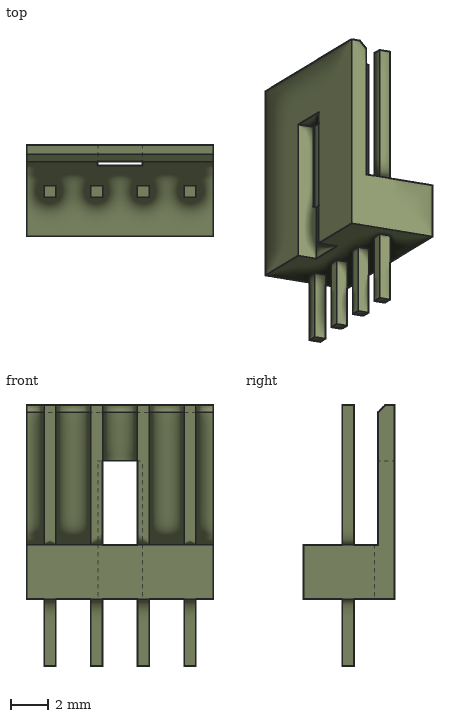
import cadquery as cq

pin_count = 4
pin_pitch = 2.5
pin_width = 0.64
pin_tail = 3.6

housing_length = pin_count * pin_pitch
housing_depth = 4.9
base_height = 2.9
wall_height = 7.5
wall_thickness = 0.9
pin_to_back = 2.5

chamfer_depth = 0.4
chamfer_height = 0.4

slot_width = 2.4
slot_to_wall_top = 3.0
slot_base_bite = 0.2

back_y = pin_to_back
front_y = back_y - housing_depth
wall_front_y = back_y - wall_thickness
top_z = base_height + wall_height


def make_housing():
    """L-shaped side profile in the YZ plane, extruded along X."""
    return (
        cq.Workplane("YZ")
        .moveTo(front_y, 0)
        .lineTo(back_y, 0)
        .lineTo(back_y, top_z)
        .lineTo(wall_front_y + chamfer_depth, top_z)
        .lineTo(wall_front_y, top_z - chamfer_height)
        .lineTo(wall_front_y, base_height)
        .lineTo(front_y, base_height)
        .close()
        .extrude(housing_length / 2, both=True)
    )


def make_slot():
    """Block removed from the wall and from the back of the base."""
    slot_depth = wall_thickness + slot_base_bite
    slot_height = top_z - slot_to_wall_top
    return (
        cq.Workplane("XY")
        .center(0, back_y - slot_depth / 2)
        .rect(slot_width, slot_depth)
        .extrude(slot_height)
    )


def make_pins():
    """Row of square pins running from below the base to the top of the wall."""
    return (
        cq.Workplane("XY")
        .workplane(offset=-pin_tail)
        .rarray(pin_pitch, 1, pin_count, 1)
        .rect(pin_width, pin_width)
        .extrude(pin_tail + top_z)
    )


result = make_housing().cut(make_slot()).union(make_pins())